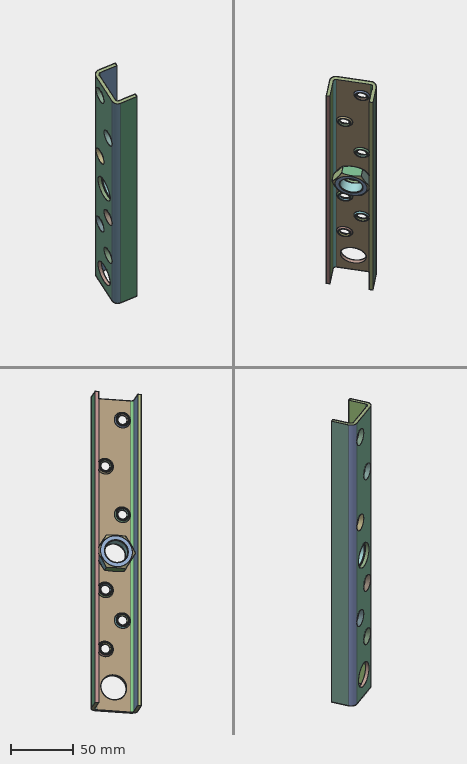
import cadquery as cq
import math

LENGTH = 264.0
WIDTH = 38.0
DEPTH = 20.0
INNER_WIDTH = 32.0
WALL = (WIDTH - INNER_WIDTH) / 2
BEND_INNER_RADIUS = 2.0
BEND_OUTER_RADIUS = BEND_INNER_RADIUS + WALL

LARGE_HOLE_DIAMETER = 21.0
NUT_Z = LENGTH / 2
LOWER_HOLE_Z = 20.0

SCREW_DIAMETER = 7.5
SINK_DIAMETER = 14.0
SINK_ANGLE = 90.0
FLARE_DIAMETER = 9.5
COLUMN_SPACING = 14.0
SCREWS_PER_GROUP = 3
UPPER_TOP_MARGIN = 17.0
UPPER_PITCH = 40.0
LOWER_FIRST_Z = 52.0
LOWER_PITCH = 25.0

DIMPLE_HEIGHT = 1.3
DIMPLE_BASE_DIAMETER = 13.2
DIMPLE_TOP_DIAMETER = 11.0
DIMPLE_TOP_Y = WALL + DIMPLE_HEIGHT

NUT_CORNERS = INNER_WIDTH
NUT_HEIGHT = 10.0
NUT_BORE = 18.5
BORE_CHAMFER = 0.5
NUT_FACE_DIAMETER = 26.1
CORNER_CHAMFER_ANGLE = 30.0


def revolve_about_y(points, x, z):
    """Revolve an outline of (radius, y) points about the line parallel to Y through (x, z)."""
    outline = cq.Workplane("XY").polyline(points).close()
    return outline.revolve(360, (0, 0), (0, 1)).translate((x, 0, z))


def u_section():
    """The bare channel: an outer block with rounded corners less the space between the flanges."""
    outer = (
        cq.Workplane("XY")
        .rect(WIDTH, DEPTH)
        .extrude(LENGTH)
        .translate((0, DEPTH / 2, 0))
        .edges("|Z and <Y")
        .fillet(BEND_OUTER_RADIUS)
    )
    inner = (
        cq.Workplane("XY")
        .rect(INNER_WIDTH, DEPTH)
        .extrude(LENGTH)
        .translate((0, WALL + DEPTH / 2, 0))
        .edges("|Z and <Y")
        .fillet(BEND_INNER_RADIUS)
    )
    return outer.cut(inner)


def large_hole(z):
    radius = LARGE_HOLE_DIAMETER / 2
    return revolve_about_y([(0, 0), (radius, 0), (radius, WALL), (0, WALL)], 0, z)


def dimple(x, z):
    base_radius = DIMPLE_BASE_DIAMETER / 2
    top_radius = DIMPLE_TOP_DIAMETER / 2
    outline = [
        (0, 0),
        (base_radius, 0),
        (base_radius, WALL),
        (top_radius, DIMPLE_TOP_Y),
        (0, DIMPLE_TOP_Y),
    ]
    return revolve_about_y(outline, x, z)


def screw_hole(x, z):
    """Countersink that narrows to the screw diameter, then flares out through the dimple."""
    radius = SCREW_DIAMETER / 2
    sink_radius = SINK_DIAMETER / 2
    sink_depth = (sink_radius - radius) / math.tan(math.radians(SINK_ANGLE / 2))
    outline = [
        (0, 0),
        (sink_radius, 0),
        (radius, sink_depth),
        (FLARE_DIAMETER / 2, DIMPLE_TOP_Y),
        (0, DIMPLE_TOP_Y),
    ]
    return revolve_about_y(outline, x, z)


def screw_positions():
    """(x, z) of the wide-spaced screws near the top and the closer ones below the nut."""
    positions = []
    for i in range(SCREWS_PER_GROUP):
        x = (-1) ** i * COLUMN_SPACING / 2
        positions.append((-x, LENGTH - UPPER_TOP_MARGIN - i * UPPER_PITCH))
        positions.append((x, LOWER_FIRST_Z + i * LOWER_PITCH))
    return positions


def make_channel():
    body = u_section()
    for z in (NUT_Z, LOWER_HOLE_Z):
        body = body.cut(large_hole(z))
    for x, z in screw_positions():
        body = body.union(dimple(x, z)).cut(screw_hole(x, z))
    return body


def make_nut():
    base_y = WALL
    top_y = WALL + NUT_HEIGHT
    hexagon = (
        cq.Workplane("XZ", origin=(0, base_y, NUT_Z))
        .polygon(6, NUT_CORNERS)
        .extrude(-NUT_HEIGHT)
    )

    face_radius = NUT_FACE_DIAMETER / 2
    corner_radius = NUT_CORNERS / 2
    corner_drop = (corner_radius - face_radius) * math.tan(math.radians(CORNER_CHAMFER_ANGLE))
    envelope = [
        (0, base_y),
        (face_radius, base_y),
        (corner_radius, base_y + corner_drop),
        (corner_radius, top_y - corner_drop),
        (face_radius, top_y),
        (0, top_y),
    ]

    bore_radius = NUT_BORE / 2
    mouth_radius = bore_radius + BORE_CHAMFER
    bore = [
        (0, base_y),
        (mouth_radius, base_y),
        (bore_radius, base_y + BORE_CHAMFER),
        (bore_radius, top_y - BORE_CHAMFER),
        (mouth_radius, top_y),
        (0, top_y),
    ]
    turned = revolve_about_y(envelope, 0, NUT_Z)
    return hexagon.intersect(turned).cut(revolve_about_y(bore, 0, NUT_Z))


channel = make_channel()
nut = make_nut()
result = cq.Compound.makeCompound([channel.solids().val(), nut.solids().val()])